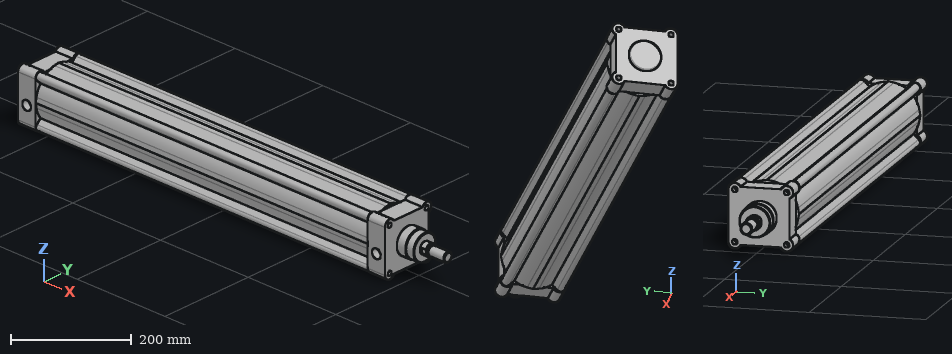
import cadquery as cq
import math

rear_collar_length = 3.7
cap_length = 40.0
tube_length = 758.0
rear_cap_start = rear_collar_length
tube_start = rear_cap_start + cap_length
front_cap_start = tube_start + tube_length
front_cap_end = front_cap_start + cap_length

cap_width = 111.5
corner_spacing = 89.0
corner_radius = (cap_width - corner_spacing) / 2
face_recess = 6.25
corner_hole_diameter = 8.8
corner_hole_depth = 16.0
port_diameter = 19.5
port_depth = 16.0
port_drop = 11.0

collar_diameter = 55.0
nose_diameter = 53.0
collar_length = 19.5
nose_length = 38.0
nose_chamfer = 1.0
rear_collar_fillet = 2.0

barrel_radius = 54.0
ridge_height = 54.8
ridge_half_width = 10.0
rib_centre = 46.5
rib_radius = 8.0

rod_diameter = 24.0
rod_shoulder = front_cap_end + 51.0
thread_diameter = 20.0
thread_length = 40.0
thread_chamfer = 1.5
neck_diameter = 17.0
neck_length = 2.8
flat_width = 22.0
flat_length = 9.5


def cross_section(x):
    """Workplane across the cylinder axis at x: local x is Y, local y is Z."""
    return cq.Workplane("YZ", origin=(x, 0, 0))


def rod_section(x, diameter, length):
    """Round bar on the cylinder axis, starting at x."""
    return cross_section(x).circle(diameter / 2).extrude(length)


def cap_block(x):
    """Cap with corner posts, recessed on +Y and both Z faces and flush on -Y."""
    core_width = cap_width - 2 * face_recess
    core = cross_section(x).rect(core_width, core_width).extrude(cap_length)
    posts = (
        cross_section(x)
        .rect(corner_spacing, corner_spacing, forConstruction=True)
        .vertices()
        .circle(corner_radius)
        .extrude(cap_length)
    )
    port_pad = (
        cross_section(x)
        .center(-cap_width / 4, 0)
        .rect(cap_width / 2, corner_spacing)
        .extrude(cap_length)
    )
    return core.union(posts).union(port_pad)


def corner_holes(x):
    """Four blind screw holes running in +X from the plane at x."""
    return (
        cross_section(x)
        .rect(corner_spacing, corner_spacing, forConstruction=True)
        .vertices()
        .circle(corner_hole_diameter / 2)
        .extrude(corner_hole_depth)
    )


def port(x):
    """Blind air port in the -Y face of the cap that starts at x."""
    return (
        cq.Workplane("XZ", origin=(x + cap_length / 2, -cap_width / 2, -port_drop))
        .circle(port_diameter / 2)
        .extrude(-port_depth)
    )


def make_rear_cap():
    """Rear cap with its rounded collar."""
    collar = rod_section(0, collar_diameter, rear_collar_length)
    collar = collar.faces("<X").edges().fillet(rear_collar_fillet)
    body = cap_block(rear_cap_start).union(collar)
    return body.cut(corner_holes(rear_cap_start)).cut(port(rear_cap_start))


def make_front_cap():
    """Front cap with its stepped collar, bored through for the piston rod."""
    step = (collar_diameter - nose_diameter) / 2
    collar = rod_section(front_cap_end, collar_diameter, collar_length + step).faces(">X").chamfer(step)
    nose = rod_section(front_cap_end, nose_diameter, nose_length).faces(">X").chamfer(nose_chamfer)
    body = cap_block(front_cap_start).union(collar).union(nose)
    body = body.cut(corner_holes(front_cap_end - corner_hole_depth)).cut(port(front_cap_start))
    rod_bore = rod_section(front_cap_start, rod_diameter, cap_length + nose_length)
    return body.cut(rod_bore)


def barrel_point(angle):
    """Point on the barrel circle, at an angle from the middle of the +Y side."""
    return barrel_radius * math.cos(angle), barrel_radius * math.sin(angle)


def mirrored(point):
    """Point reflected across the middle of the +Y side."""
    return point[0], -point[1]


def turned(point, quarter_turns):
    """Point rotated about the cylinder axis by quarter turns from +Y towards +Z."""
    angle = quarter_turns * math.pi / 2
    y, z = point
    return y * math.cos(angle) - z * math.sin(angle), y * math.sin(angle) + z * math.cos(angle)


def make_tube():
    """Solid extrusion with four equal sides, joined to the corner ribs by 45 degree flanks."""
    ridge = (ridge_height, 0)
    ridge_foot = (math.sqrt(barrel_radius**2 - ridge_half_width**2), ridge_half_width)
    rib_offset = rib_radius * math.sqrt(0.5)
    flank_top = (rib_centre + rib_offset, rib_centre - rib_offset)
    rib_tip = (rib_centre + rib_offset, rib_centre + rib_offset)
    flank_angle = math.pi / 4 - math.asin(rib_radius / barrel_radius)
    flank_foot = barrel_point(flank_angle)
    barrel_middle = barrel_point((flank_angle + math.asin(ridge_half_width / barrel_radius)) / 2)

    profile = cross_section(tube_start).moveTo(*ridge)
    for side in range(4):
        profile = (
            profile.lineTo(*turned(ridge_foot, side))
            .threePointArc(turned(barrel_middle, side), turned(flank_foot, side))
            .lineTo(*turned(flank_top, side))
            .threePointArc(turned(rib_tip, side), turned(mirrored(flank_top), side + 1))
            .lineTo(*turned(mirrored(flank_foot), side + 1))
            .threePointArc(turned(mirrored(barrel_middle), side + 1), turned(mirrored(ridge_foot), side + 1))
        )
        if side < 3:
            profile = profile.lineTo(*turned(ridge, side + 1))
    return profile.close().extrude(tube_length)


def make_rod():
    """Piston rod from the tube face to the thread tip, with wrench flats on both Y sides."""
    shank_length = rod_shoulder - front_cap_start
    shank = rod_section(front_cap_start, rod_diameter, shank_length)
    neck = rod_section(rod_shoulder, neck_diameter, neck_length)
    thread = (
        rod_section(rod_shoulder + neck_length, thread_diameter, thread_length - neck_length)
        .faces("<X or >X")
        .chamfer(thread_chamfer)
    )
    rod = shank.union(neck).union(thread)
    flat_depth = (rod_diameter - flat_width) / 2
    for side in (-1, 1):
        rod = rod.cut(
            cq.Workplane("XY")
            .box(flat_length, flat_depth, rod_diameter)
            .translate((rod_shoulder - flat_length / 2, side * (flat_width + flat_depth) / 2, 0))
        )
    return rod


rear_cap = make_rear_cap()
tube = make_tube()
front_cap = make_front_cap()
piston_rod = make_rod()

result = cq.Compound.makeCompound([rear_cap.val(), tube.val(), front_cap.val(), piston_rod.val()])